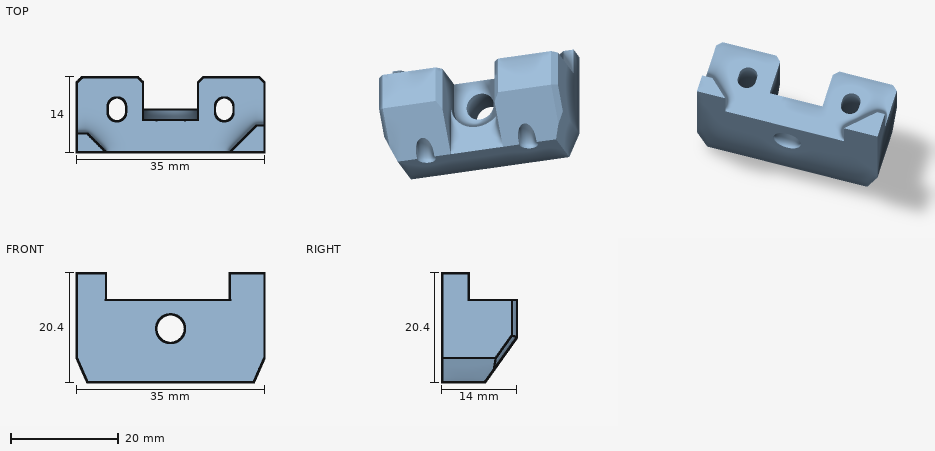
import cadquery as cq

length = 35.0
depth = 14.0
ledge_height = 15.35
post_rise = 5.0

slope_start_y = 8.0
slope_top_z = 8.4
edge_chamfer = 1.0

end_bevel_width = 2.0
end_bevel_height = 4.55

bolt_diameter = 5.3
bolt_z = 10.0
notch_width = 10.2
notch_y = 8.0
seat_y = 6.0

slot_spacing = 20.0
slot_y = 8.0
slot_width = 3.4
slot_length = 4.4

left_post_width = 5.5
left_post_depth = 3.5
left_post_flat = 2.0
right_post_width = 6.5
right_post_depth = 5.0
right_post_flat = 1.5


def box_between(x_min, x_max, y_min, y_max, z_min, z_max):
    """Box spanning the given limits on each axis."""
    size = (x_max - x_min, y_max - y_min, z_max - z_min)
    return cq.Workplane("XY").box(*size, centered=False).translate((x_min, y_min, z_min))


def make_block():
    """Side profile with a sloped rear underside, notched and chamfered at the rear."""
    profile = [
        (0, 0),
        (slope_start_y, 0),
        (depth, slope_top_z),
        (depth, ledge_height),
        (0, ledge_height),
    ]
    block = cq.Workplane("YZ").polyline(profile).close().extrude(length / 2, both=True)

    block = block.edges("not |X").edges(">>Y or >>Y[-2]").chamfer(edge_chamfer)

    notch = box_between(-notch_width / 2, notch_width / 2, notch_y, depth, 0, ledge_height)
    block = block.cut(notch)
    mouth_edges = cq.selectors.BoxSelector(
        (-notch_width, depth - edge_chamfer / 2, 0),
        (notch_width, depth + edge_chamfer / 2, ledge_height),
    )
    return block.edges("|Z").edges(mouth_edges).chamfer(edge_chamfer)


def make_head_seat():
    """Half-round pocket around the bolt axis, open upwards through the ledge."""
    seat_depth = notch_y - seat_y
    round_part = (
        cq.Workplane("XZ", origin=(0, notch_y, bolt_z))
        .circle(notch_width / 2)
        .extrude(seat_depth)
    )
    open_part = box_between(-notch_width / 2, notch_width / 2, seat_y, notch_y, bolt_z, ledge_height)
    return round_part.union(open_part)


def make_bolt_hole():
    """Round hole along Y from the front face to the head seat and beyond."""
    return cq.Workplane("XZ", origin=(0, 0, bolt_z)).circle(bolt_diameter / 2).extrude(-depth)


def make_slots():
    """Two slots, long in Y, through the full height on either side of the notch."""
    return (
        cq.Workplane("XY", origin=(0, slot_y, 0))
        .pushPoints([(-slot_spacing / 2, 0), (slot_spacing / 2, 0)])
        .slot2D(slot_length, slot_width, angle=90)
        .extrude(ledge_height)
    )


def make_post(side, width, post_depth, flat):
    """Corner post on one end (side is -1 or 1) with a diagonal inner face."""
    end_x = side * length / 2
    outline = [
        (end_x, 0),
        (end_x - side * width, 0),
        (end_x - side * flat, post_depth),
        (end_x, post_depth),
    ]
    return (
        cq.Workplane("XY", origin=(0, 0, ledge_height))
        .polyline(outline)
        .close()
        .extrude(post_rise)
    )


def make_end_bevel(side):
    """Wedge removed along the lower edge of one end."""
    end_x = side * length / 2
    outline = [(end_x, 0), (end_x - side * end_bevel_width, 0), (end_x, end_bevel_height)]
    return cq.Workplane("XZ").polyline(outline).close().extrude(-depth)


result = make_block()
result = result.cut(make_head_seat()).cut(make_bolt_hole()).cut(make_slots())
for side in (-1, 1):
    result = result.cut(make_end_bevel(side))
result = result.union(make_post(-1, left_post_width, left_post_depth, left_post_flat))
result = result.union(make_post(1, right_post_width, right_post_depth, right_post_flat))